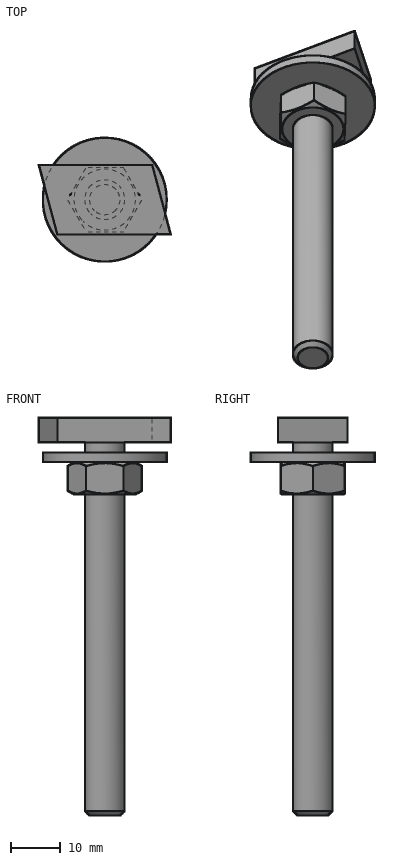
import cadquery as cq
import math

total_length = 80.0

rod_diameter = 8.0
rod_chamfer = 1.0

head_length = 26.6
head_width = 14.0
head_thickness = 5.0
head_slant_angle = 15.0

washer_diameter = 25.0
washer_thickness = 2.0
head_to_washer_gap = 2.0

nut_across_flats = 13.0
nut_height = 6.5
nut_sides = 6
nut_chamfer_angle = 30.0
nut_chamfer_face_ratio = 0.95

head_bottom = total_length - head_thickness
washer_bottom = head_bottom - head_to_washer_gap - washer_thickness
nut_bottom = washer_bottom - nut_height


def make_rod():
    rod = cq.Workplane("XY").circle(rod_diameter / 2).extrude(total_length)
    return rod.faces("<Z").chamfer(rod_chamfer)


def make_head():
    """Parallelogram plate whose short sides lean by the slant angle."""
    half_length = head_length / 2
    half_width = head_width / 2
    slant = head_width * math.tan(math.radians(head_slant_angle))
    outline = [
        (-half_length, half_width),
        (half_length - slant, half_width),
        (half_length, -half_width),
        (-half_length + slant, -half_width),
    ]
    plate = cq.Workplane("XY").polyline(outline).close().extrude(head_thickness)
    return plate.translate((0, 0, head_bottom))


def make_washer():
    washer = cq.Workplane("XY").circle(washer_diameter / 2).extrude(washer_thickness)
    return washer.translate((0, 0, washer_bottom))


def make_nut():
    """Hexagon with two corners on X, its ends trimmed by cones."""
    across_corners = nut_across_flats / math.cos(math.pi / nut_sides)
    corner_radius = across_corners / 2
    face_radius = nut_across_flats * nut_chamfer_face_ratio / 2
    chamfer_height = (corner_radius - face_radius) * math.tan(math.radians(nut_chamfer_angle))
    hexagon = cq.Workplane("XY").polygon(nut_sides, across_corners).extrude(nut_height)
    trimming_body = (
        cq.Workplane("XZ")
        .moveTo(0, 0)
        .lineTo(face_radius, 0)
        .lineTo(corner_radius, chamfer_height)
        .lineTo(corner_radius, nut_height - chamfer_height)
        .lineTo(face_radius, nut_height)
        .lineTo(0, nut_height)
        .close()
        .revolve(360, (0, 0, 0), (0, 1, 0))
    )
    return hexagon.intersect(trimming_body).translate((0, 0, nut_bottom))


result = make_rod().union(make_head()).union(make_washer()).union(make_nut())